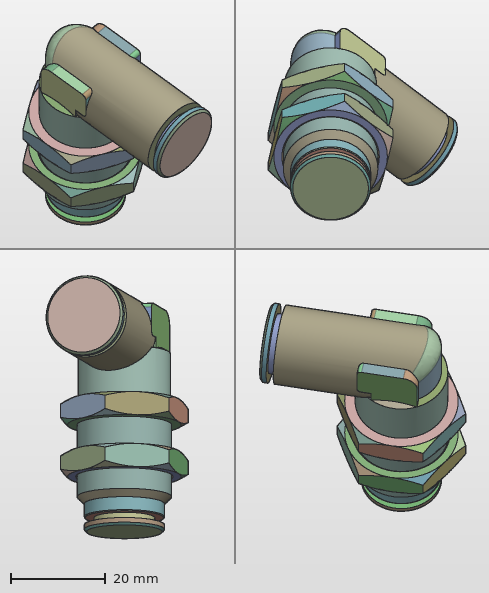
import cadquery as cq
import math

hex_across_flats = 24.0
hex_height = 5.0
hex_across_corners = hex_across_flats / math.cos(math.radians(30))
hex_chamfer_slope = math.radians(30)
nut_bottom_z = 11.85
nut_bore_chamfer = 0.3

bulkhead_bottom_z = 3.0
bulkhead_end_radius = 8.5
bulkhead_end_chamfer = 0.2
cone_height = 1.5
thread_start_z = 7.5
thread_radius = 10.0
hex_bottom_z = 23.0
hex_top_z = hex_bottom_z + hex_height

base_radius = 9.8
base_top_z = 38.25
base_slope = math.radians(30)
tube_radius = 8.5
tube_axis_z = 41.5
tube_top_z = tube_axis_z + tube_radius
tube_end_x = 26.0
corner_radius = 3.0

pad_left_x = -5.0
pad_right_x = 8.0
pad_foot_x = 5.0
pad_step_z = 40.5
pad_top_z = 47.5
pad_small_radius = 1.0

collar_flange_radius = 8.5
collar_neck_radius = 6.45
collar_length = 3.0
collar_flange_thickness = 1.5
collar_edge_chamfer = 0.5


def revolve_about_z(outline):
    """Solid of revolution about Z from (radius, z) points."""
    return cq.Workplane("XZ").polyline(outline).close().revolve(360, (0, 0), (0, 1))


def make_hexagon(bottom_z):
    """Hexagonal prism with its corners chamfered on both faces."""
    face_radius = hex_across_flats / 2
    corner_distance = hex_across_corners / 2
    corner_drop = (corner_distance - face_radius) * math.tan(hex_chamfer_slope)
    top_z = bottom_z + hex_height
    prism = cq.Workplane("XY", origin=(0, 0, bottom_z)).polygon(6, hex_across_corners).extrude(hex_height)
    chamfer_body = revolve_about_z([
        (0, bottom_z),
        (face_radius, bottom_z),
        (corner_distance, bottom_z + corner_drop),
        (corner_distance, top_z - corner_drop),
        (face_radius, top_z),
        (0, top_z),
    ])
    return prism.intersect(chamfer_body)


def make_bulkhead_body():
    """Turned body with a fixed hexagon at its top."""
    turned = revolve_about_z([
        (0, bulkhead_bottom_z),
        (bulkhead_end_radius - bulkhead_end_chamfer, bulkhead_bottom_z),
        (bulkhead_end_radius, bulkhead_bottom_z + bulkhead_end_chamfer),
        (bulkhead_end_radius, thread_start_z - cone_height),
        (thread_radius, thread_start_z),
        (thread_radius, hex_bottom_z),
        (0, hex_bottom_z),
    ])
    return turned.union(make_hexagon(hex_bottom_z))


def make_nut():
    """Loose nut on the thread, with a chamfer at each end of its bore."""
    top_z = nut_bottom_z + hex_height
    mouth_radius = thread_radius + nut_bore_chamfer
    bore = revolve_about_z([
        (0, nut_bottom_z),
        (mouth_radius, nut_bottom_z),
        (thread_radius, nut_bottom_z + nut_bore_chamfer),
        (thread_radius, top_z - nut_bore_chamfer),
        (mouth_radius, top_z),
        (0, top_z),
    ])
    return make_hexagon(nut_bottom_z).cut(bore)


def make_elbow_base():
    """Round base whose top slopes up to the stem."""
    slope_height = (base_radius - tube_radius) * math.tan(base_slope)
    return revolve_about_z([
        (0, hex_top_z),
        (base_radius, hex_top_z),
        (base_radius, base_top_z),
        (tube_radius, base_top_z + slope_height),
        (0, base_top_z + slope_height),
    ])


def make_mitred_cylinders():
    """Upright stem and level tube of equal radius that meet at a 45 degree mitre."""
    stem_bottom_z = tube_axis_z - tube_radius
    stem = (
        cq.Workplane("XY", origin=(0, 0, stem_bottom_z))
        .circle(tube_radius).extrude(tube_top_z - stem_bottom_z)
    )
    tube = (
        cq.Workplane("YZ", origin=(-tube_radius, 0, tube_axis_z))
        .circle(tube_radius).extrude(tube_end_x + tube_radius)
    )
    tube_side = (
        cq.Workplane("XZ")
        .moveTo(-tube_radius, tube_top_z)
        .lineTo(tube_end_x, tube_top_z)
        .lineTo(tube_end_x, stem_bottom_z)
        .lineTo(tube_radius, stem_bottom_z)
        .close().extrude(tube_radius, both=True)
    )
    return stem.cut(tube_side).union(tube.intersect(tube_side))


def make_pad_block():
    """Block across the elbow, as wide as the tube, with rounded pad corners."""
    block = (
        cq.Workplane("XZ")
        .moveTo(pad_left_x, base_top_z)
        .lineTo(pad_left_x, pad_top_z)
        .lineTo(pad_right_x, pad_top_z)
        .lineTo(pad_right_x, pad_step_z)
        .lineTo(pad_foot_x, pad_step_z)
        .lineTo(pad_foot_x, base_top_z)
        .close().extrude(tube_radius, both=True)
    )
    block = block.edges("|Y and >Z and <X").fillet(corner_radius)
    return block.edges("|Y and >X").fillet(pad_small_radius)


def make_elbow():
    """Elbow with its outer mitre edge rounded between the pads, standing on the base."""
    bend = make_mitred_cylinders().union(make_pad_block())
    outer_corner = cq.selectors.NearestToPointSelector((-tube_radius, 0, tube_top_z))
    return bend.edges(outer_corner).fillet(corner_radius).union(make_elbow_base())


def make_collar(end_plane):
    """Release collar on an end face: a neck, then a flange with a chamfered outer edge."""
    neck = cq.Workplane(end_plane).circle(collar_neck_radius).extrude(collar_length)
    flange = (
        cq.Workplane(end_plane).workplane(offset=collar_length - collar_flange_thickness)
        .circle(collar_flange_radius).extrude(collar_flange_thickness)
        .faces(cq.selectors.DirectionMinMaxSelector(end_plane.zDir)).chamfer(collar_edge_chamfer)
    )
    return neck.union(flange)


bulkhead_body = make_bulkhead_body()
nut = make_nut()
elbow = make_elbow()

bulkhead_end = cq.Plane(origin=(0, 0, bulkhead_bottom_z), normal=(0, 0, -1))
tube_end = cq.Plane(origin=(tube_end_x, 0, tube_axis_z), xDir=(0, 1, 0), normal=(1, 0, 0))
collars = [make_collar(end_plane) for end_plane in (bulkhead_end, tube_end)]

result = cq.Compound.makeCompound(
    [bulkhead_body.val(), nut.val(), elbow.val(), *[collar.val() for collar in collars]]
)